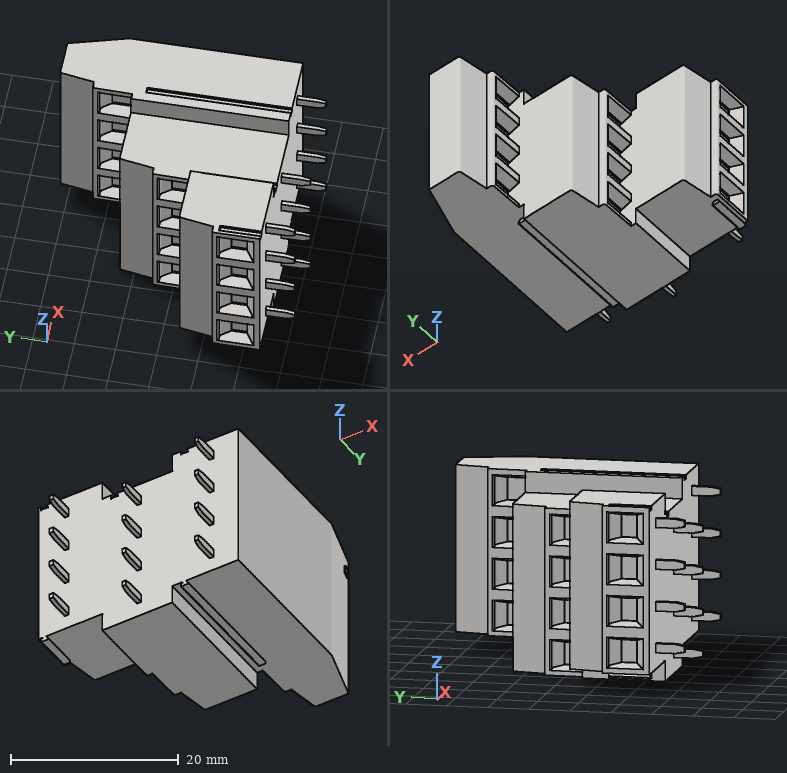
import cadquery as cq
import math

pole_count = 4
pole_pitch = 5.07
tier_count = 3
tier_step_x = 9.83
tier_step_y = 9.07

body_width = 28.1
body_height = 28.2
overall_height = 31.7
tier_depth = 20.32
middle_drop = 2.55

shoulder_height = 5.83
shoulder_width = 0.92
crown_height = body_height - (tier_count - 1) * tier_step_y
crown_start = 1.62
split_x = 8.97
face_draft = 0.1
edge_radius = 0.32
back_slope_top = 25.95
back_slope_foot = 21.02

marker_setback = 0.75
marker_length = 1.15
marker_width = 0.95
marker_height = 0.2

pocket_center_z = 2.5
pocket_bottom = 0.75
pocket_top = 5.2
pocket_half_height = 1.87
pocket_depth = 1.6
pocket_taper_depth = 1.35
pocket_side_taper = 0.49
pocket_foot_taper = 1.05
pocket_lip = 0.22
pocket_lip_depth = 0.2
pocket_round_drop = 0.22
pocket_round_depth = 0.57
pocket_ramp_end = 1.5

key_center = 0.82
key_width = 1.0
key_neck = 0.57
key_shoulder_depth = 0.38
key_depth = 0.6
key_round = 0.13
keyway_mouth = 0.8
keyway_throat = 0.6
keyway_throat_depth = 0.05
keyway_shoulder_depth = 0.35
keyway_depth = 0.48
key_lengths = [5.05, 9.0, 17.55]

pin_x = 4.0
pin_step_x = 10.18
pin_length = overall_height - body_height
pin_thickness = 0.57
pin_width = 1.1
pin_tip_length = 1.08
pin_tip_width = 0.7
pin_tip_relief = 0.1
pin_root = 0.63


def tier_base_z(tier):
    return -middle_drop if tier == 1 else 0.0


def face_x(tier):
    """X of the wire face at the height of the shoulder."""
    return tier * tier_step_x


def shelf_y(tier):
    """Height of the crown of the tier in front, which ends at this wire face."""
    return crown_height + (tier - 1) * tier_step_y


def make_tier(tier):
    x = face_x(tier)
    y = tier * tier_step_y
    if tier == 0:
        points = [(x, 0)]
    else:
        split = x - tier_step_x + split_x
        points = [(split, 0), (split, shelf_y(tier)), (x - face_draft, shelf_y(tier))]
    shoulder = (x, y + shoulder_height)
    crown = (x + crown_start, y + crown_height)
    points += [shoulder, (x + shoulder_width, y + shoulder_height), crown]
    if tier == tier_count - 1:
        points += [(back_slope_top, body_height), (body_width, back_slope_foot), (body_width, 0)]
    else:
        points += [(x + split_x, y + crown_height), (x + split_x, 0)]
    block = cq.Workplane("XY").polyline(points).close().extrude(tier_depth)
    for corner in (shoulder, crown):
        edge = cq.selectors.NearestToPointSelector((corner[0], corner[1], tier_depth / 2))
        block = block.edges("|Z").edges(edge).fillet(edge_radius)
    return block.translate((0, 0, tier_base_z(tier)))


def make_pocket(tier):
    """Tapered entry with a ramped upper back, mouth at x = 0, centred on z = 0."""
    foot_taper = pocket_foot_taper if tier == 0 else 0.0
    foot = pocket_bottom if tier == 0 else shelf_y(tier) - tier * tier_step_y
    front = -face_draft
    front_half = pocket_half_height + face_draft * pocket_side_taper / pocket_taper_depth
    back_half = pocket_half_height - pocket_side_taper
    flanks = (
        cq.Workplane("XZ")
        .polyline([
            (front, -front_half), (pocket_taper_depth, -back_half), (pocket_depth, -back_half),
            (pocket_depth, back_half), (pocket_taper_depth, back_half), (front, front_half),
        ])
        .close()
        .extrude(-pocket_top)
    )
    lip_end = (pocket_lip_depth, pocket_top - pocket_lip)
    ramp_start = (lip_end[0] + pocket_round_depth, lip_end[1] - pocket_round_drop)
    ramp_end_y = pocket_top - pocket_ramp_end
    outline = (
        cq.Workplane("XY")
        .moveTo(front, foot)
        .lineTo(0, foot)
        .lineTo(pocket_taper_depth, foot + foot_taper)
        .lineTo(pocket_depth, foot + foot_taper)
        .lineTo(pocket_depth, ramp_end_y)
        .lineTo(pocket_taper_depth, ramp_end_y)
        .lineTo(*ramp_start)
        .tangentArcPoint(lip_end, relative=False)
        .lineTo(0, pocket_top)
        .lineTo(front, pocket_top)
        .close()
        .extrude(front_half, both=True)
    )
    return outline.intersect(flanks)


def make_dovetail(half_profile, length):
    """Symmetric bar along Y from (half width, depth below z = 0) pairs."""
    right = [(half, -depth) for half, depth in half_profile]
    left = [(-half, -depth) for half, depth in reversed(half_profile)]
    return cq.Workplane("XZ").polyline(right + left).close().extrude(-length)


def make_key(length):
    half_profile = [
        (key_neck / 2, 0),
        (key_width / 2, key_shoulder_depth),
        (key_width / 2, key_depth),
    ]
    return make_dovetail(half_profile, length).edges("<Z and |Y").fillet(key_round)


def make_keyway(length):
    half_profile = [
        (keyway_mouth / 2, 0),
        (keyway_throat / 2, keyway_throat_depth),
        (key_width / 2, keyway_shoulder_depth),
        (key_width / 2, keyway_depth),
    ]
    return make_dovetail(half_profile, length)


def make_pin(tier):
    """Flat pin along -Y with a narrowed tip, centred on x = 0 and z = 0."""
    tip_start = pin_tip_length - pin_length
    pin = (
        cq.Workplane("YZ")
        .polyline([
            (pin_root, -pin_width / 2), (tip_start, -pin_width / 2),
            (-pin_length, -pin_tip_width / 2), (-pin_length, pin_tip_width / 2),
            (tip_start, pin_width / 2), (pin_root, pin_width / 2),
        ])
        .close()
        .extrude(pin_thickness / 2, both=True)
    )
    if tier > 0:
        side = -pin_thickness / 2
        relief = (
            cq.Workplane("XY")
            .polyline([(side, tip_start), (side + pin_tip_relief, -pin_length), (side, -pin_length)])
            .close()
            .extrude(pin_width, both=True)
        )
        pin = pin.cut(relief)
    return pin


def make_marker():
    """Pad on the sloped back, half sunk into the housing."""
    slope_angle = math.degrees(
        math.atan2(body_height - back_slope_foot, body_width - back_slope_top)
    )
    pad = cq.Workplane("XY").box(marker_length, 2 * marker_height, marker_width)
    pad = pad.translate((marker_setback + marker_length / 2, 0, 0))
    pad = pad.rotate((0, 0, 0), (0, 0, 1), -slope_angle)
    last_pole_z = (pole_count - 0.5) * pole_pitch
    return pad.translate((back_slope_top, body_height, last_pole_z))


result = make_tier(0).union(make_tier(1)).union(make_tier(2))

for tier in range(tier_count):
    pocket = make_pocket(tier)
    pin = make_pin(tier)
    for pole in range(pole_count):
        pole_z = tier_base_z(tier) + pole * pole_pitch
        pocket_place = (face_x(tier), tier * tier_step_y, pole_z + pocket_center_z)
        pin_place = (pin_x + tier * pin_step_x, 0, pole_z + pole_pitch / 2)
        result = result.cut(pocket.translate(pocket_place))
        result = result.union(pin.translate(pin_place))

for tier, length in enumerate(key_lengths):
    key_x = face_x(tier) + key_center
    top_z = tier_base_z(tier) + tier_depth
    result = result.cut(make_keyway(length).translate((key_x, 0, top_z)))
    if tier != 1:
        result = result.union(make_key(length).translate((key_x, 0, 0)))

result = result.union(make_marker())